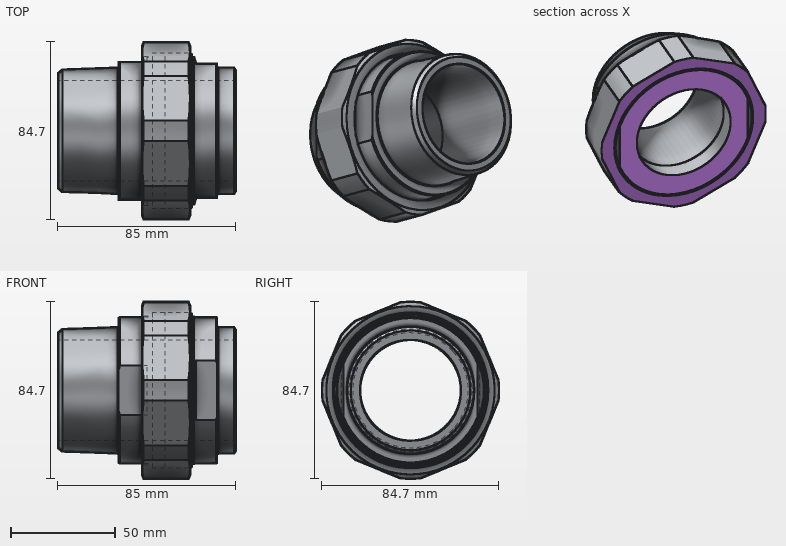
import cadquery as cq
import math


overall_length = 85.0
bore_radius = 48.0 / 2
bore_edge_chamfer = 0.25
pipe_radius = 30.3
shoulder_flare_length = 0.6
shoulder_flare_height = 0.25
collar_radius = 70.0 / 2
collar_chamfer = 0.5

nut_start = 40.0
nut_end = 63.15
nut_radius = 84.7 / 2
nut_flat_distance = 40.7
nut_face_radius = 40.2
nut_chamfer_length = 0.85
nut_sides = 8
nut_lip_radius = 71.2 / 2
nut_lip_length = 5.1
nut_bore_radius = 74.4 / 2

joint_x = 51.0
flange_start = nut_start + nut_lip_length
tail_mouth_radius = 55.1 / 2
tail_tip_radius = 29.3
tail_chamfer_length = 2.1
tail_collar_start = 29.0
tail_flat_distance = 33.0
tail_flat_overlap = 2.55
tail_flat_end = nut_start + tail_flat_overlap

ring_end = 64.1
ring_chamfer = ring_end - nut_end
neck_end = 64.9
neck_radius = 70.5 / 2
end_collar_end = 76.0
end_chamfer_length = 1.0
end_mouth_radius = 28.6
end_flat_start = 66.0
end_flat_distance = 32.05
end_flat_runout = 0.9


def revolve_profile(points):
    """Turn an outline of (axial position, radius) points about the X axis."""
    return cq.Workplane("XY").polyline(points).close().revolve(360, (0, 0, 0), (1, 0, 0))


def cut_both_sides(body, outline):
    """Remove an XY outline, extruded along Z, from the +Y side and the -Y side."""
    cutter = cq.Workplane("XY").polyline(outline).close().extrude(nut_radius, both=True)
    return body.cut(cutter).cut(cutter.mirror("XZ"))


def make_tailpiece():
    flare_start = tail_collar_start - shoulder_flare_length
    body = revolve_profile([
        (0, bore_radius + bore_edge_chamfer),
        (0, tail_mouth_radius),
        (tail_chamfer_length, tail_tip_radius),
        (flare_start, pipe_radius),
        (tail_collar_start, pipe_radius + shoulder_flare_height),
        (tail_collar_start, collar_radius - collar_chamfer),
        (tail_collar_start + collar_chamfer, collar_radius),
        (flange_start, collar_radius),
        (flange_start, nut_bore_radius),
        (joint_x, nut_bore_radius),
        (joint_x, bore_radius),
        (bore_edge_chamfer, bore_radius),
    ])
    flat_outline = [
        (tail_collar_start, tail_flat_distance),
        (tail_flat_end, tail_flat_distance),
        (tail_flat_end, nut_radius),
        (tail_collar_start, nut_radius),
    ]
    return cut_both_sides(body, flat_outline)


def make_nut():
    chamfered_round = revolve_profile([
        (nut_start, nut_lip_radius),
        (nut_start, nut_face_radius),
        (nut_start + nut_chamfer_length, nut_radius),
        (nut_end - nut_chamfer_length, nut_radius),
        (nut_end, nut_face_radius),
        (nut_end, nut_bore_radius),
        (flange_start, nut_bore_radius),
        (flange_start, nut_lip_radius),
    ])
    half_side_angle = 180 / nut_sides
    octagon_diameter = 2 * nut_flat_distance / math.cos(math.radians(half_side_angle))
    octagon = (
        cq.Workplane("YZ").workplane(offset=nut_start)
        .polygon(nut_sides, octagon_diameter)
        .extrude(nut_end - nut_start)
    )
    return chamfered_round.intersect(octagon)


def make_mating_end():
    body = revolve_profile([
        (joint_x, bore_radius),
        (joint_x, nut_bore_radius),
        (nut_end, nut_bore_radius),
        (ring_end, nut_bore_radius - ring_chamfer),
        (ring_end, neck_radius),
        (neck_end, neck_radius),
        (neck_end, collar_radius),
        (end_collar_end - collar_chamfer, collar_radius),
        (end_collar_end, collar_radius - collar_chamfer),
        (end_collar_end, pipe_radius + shoulder_flare_height),
        (end_collar_end + shoulder_flare_length, pipe_radius),
        (overall_length - end_chamfer_length, pipe_radius),
        (overall_length, end_mouth_radius),
        (overall_length, bore_radius),
    ])
    flat_outline = [
        (end_flat_start, end_flat_distance),
        (end_collar_end, end_flat_distance),
        (end_collar_end, collar_radius),
        (end_flat_start - end_flat_runout, collar_radius),
    ]
    return cut_both_sides(body, flat_outline)


tailpiece = make_tailpiece()
nut = make_nut()
mating_end = make_mating_end()

result = cq.Compound.makeCompound([
    tailpiece.solids().val(),
    nut.solids().val(),
    mating_end.solids().val(),
])